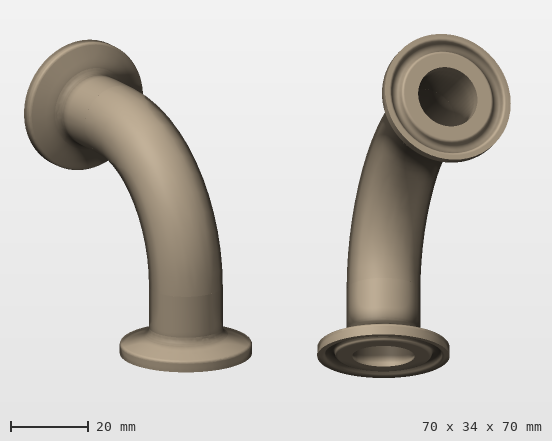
import cadquery as cq
import math

overall = 70.0
flange_diameter = 34.0
tube_diameter = 19.0
bore_diameter = 16.0
ferrule_length = 18.0

rim_height = 2.9
cone_angle = 20.0
rim_fillet = 0.85
neck_fillet = 2.0

groove_mid_radius = 13.7
groove_arc_radius = 1.25
lip_radius = 0.8
groove_wall_width = 0.15
groove_wall_angle = 70.0

flange_radius = flange_diameter / 2
tube_radius = tube_diameter / 2
bore_radius = bore_diameter / 2
port_axis = overall - flange_radius
bend_radius = port_axis - ferrule_length
neck_height = rim_height + (flange_radius - tube_radius) * math.tan(math.radians(cone_angle))


def make_groove():
    """Ring-shaped cutter: a round bottom, straight sloping sides and rounded lips."""
    def on_arc(radius, degrees):
        angle = math.radians(degrees)
        return radius * math.sin(angle), radius * (1 - math.cos(angle))

    half_wall_angle = groove_wall_angle / 2
    lip_width, lip_drop = on_arc(lip_radius, groove_wall_angle)
    lip_mid_width, lip_mid_drop = on_arc(lip_radius, half_wall_angle)
    bottom_half_width, bottom_drop = on_arc(groove_arc_radius, groove_wall_angle)
    wall_drop = groove_wall_width * math.tan(math.radians(groove_wall_angle))
    wall_end = lip_drop + wall_drop
    depth = wall_end + bottom_drop
    wall_half_width = bottom_half_width + groove_wall_width
    half_width = wall_half_width + lip_width

    def point(offset, height):
        return groove_mid_radius + offset, height

    return (
        cq.Workplane("XY")
        .moveTo(*point(-half_width, 0))
        .threePointArc(point(lip_mid_width - half_width, lip_mid_drop), point(-wall_half_width, lip_drop))
        .lineTo(*point(-bottom_half_width, wall_end))
        .threePointArc(point(0, depth), point(bottom_half_width, wall_end))
        .lineTo(*point(wall_half_width, lip_drop))
        .threePointArc(point(half_width - lip_mid_width, lip_mid_drop), point(half_width, 0))
        .close()
        .revolve(360, (0, 0, 0), (0, 1, 0))
    )


def make_ferrule():
    """Clamp ferrule along +Y, with its sealing face at Y = 0."""
    blank = (
        cq.Workplane("XY")
        .moveTo(bore_radius, 0)
        .lineTo(flange_radius, 0)
        .lineTo(flange_radius, rim_height)
        .lineTo(tube_radius, neck_height)
        .lineTo(tube_radius, ferrule_length)
        .lineTo(bore_radius, ferrule_length)
        .close()
        .revolve(360, (0, 0, 0), (0, 1, 0))
    )

    def edge_at(height):
        margin = 0.1
        reach = flange_radius + margin
        return cq.selectors.BoxSelector(
            (-reach, height - margin, -reach), (reach, height + margin, reach), boundingbox=True
        )

    rounded = blank.edges(edge_at(rim_height)).fillet(rim_fillet)
    rounded = rounded.edges(edge_at(neck_height)).fillet(neck_fillet)
    return rounded.cut(make_groove())


def make_elbow():
    """Quarter-bend tube between the inner ends of the two ferrules."""
    return (
        cq.Workplane("YZ", origin=(ferrule_length, 0, port_axis))
        .circle(tube_radius)
        .circle(bore_radius)
        .revolve(90, (0, -bend_radius, 0), (1, -bend_radius, 0))
    )


ports = [
    ((0, 0, 1), -90, (0, 0, port_axis)),
    ((1, 0, 0), 90, (port_axis, 0, 0)),
]
ferrules = [
    make_ferrule().rotate((0, 0, 0), axis, angle).translate(position)
    for axis, angle, position in ports
]
elbow = make_elbow()

result = cq.Compound.makeCompound([elbow.val(), *[ferrule.val() for ferrule in ferrules]])